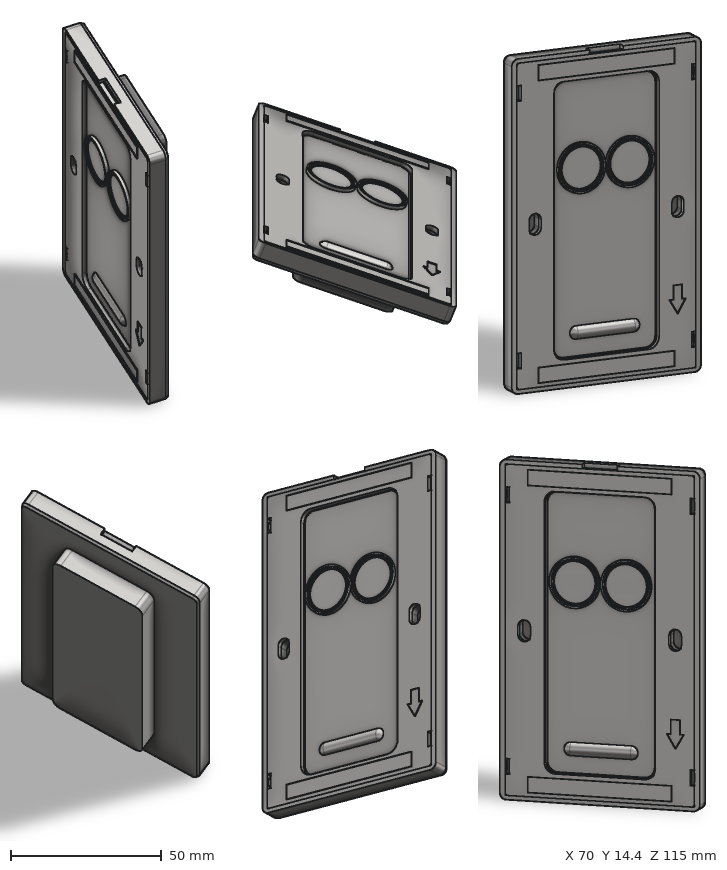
import cadquery as cq

width = 70.0
height = 115.0
total_depth = 14.4
pad_thickness = 0.3

housing_depth = 6.9
corner_radius = 2.4
bevel_depth = 1.1
bevel_inset = 0.45

panel_depth = total_depth - pad_thickness - housing_depth
panel_width = 35.3
panel_height = 91.6
panel_corner_radius = 3.0

side_rim = 1.9
end_rim = 1.5
bracket_width = width - 2 * side_rim
bracket_height = height - 2 * end_rim
bracket_thickness = 1.8
bracket_corner_radius = 1.0
recess_corner_radius = 0.5

window_width = 38.9
window_height = 95.5
window_corner_radius = 4.0
platform_side_clearance = 0.75
platform_end_clearance = 0.4
platform_corner_radius = 3.4
platform_setback = 1.35
platform_width = window_width - 2 * platform_side_clearance
platform_height = window_height - 2 * platform_end_clearance

boss_diameter = 17.4
boss_step_diameter = 16.0
boss_recess_diameter = 14.9
boss_rise = 1.35
boss_step_drop = 0.3
boss_recess_drop = 0.7
boss_floor_diameter = 14.3
boss_spacing = 18.0
boss_z = 17.3

bar_length = 25.8
bar_height = 4.6
bar_rise = 1.35
bar_z = -39.2

slot_width = 4.4
slot_length = 7.3
slot_x = 26.4
slot_depth_in_housing = 3.2
arrow_depth = 0.3
arrow_top_z = -26.9
arrow_shoulder_z = -31.8
arrow_tip_z = -36.7
arrow_shaft_width = 3.2
arrow_head_width = 5.9

pad_length = 50.3
pad_height = 5.3
pad_z = 51.9

notch_width = 1.5
notch_height = 5.3
notch_z_positions = (45.6, -46.2)
catch_height = 2.6
catch_reach = 0.2
catch_setback = 0.5

opening_width = 12.4
opening_depth = 2.5
opening_reach = end_rim + 0.5


def block(size_x, size_z, y_start, length, x=0, z=0):
    """Box centred on (x, z) that runs from y_start toward +Y."""
    return cq.Workplane("XY").box(size_x, length, size_z).translate((x, y_start + length / 2, z))


def rounded_block(size_x, size_z, y_start, length, radius):
    """Block with its four corners rounded."""
    return block(size_x, size_z, y_start, length).edges("|Y").fillet(radius)


def disc(diameter, y_start, length, x, z):
    """Cylinder that runs from y_start toward +Y."""
    return cq.Workplane("XZ", origin=(x, y_start, z)).circle(diameter / 2).extrude(-length)


def make_screw_slots(y_start, length):
    """Two upright slots, one on each side of the window, that run from y_start toward +Y."""
    return (
        cq.Workplane("XZ", origin=(0, y_start, 0))
        .pushPoints([(-slot_x, 0), (slot_x, 0)])
        .slot2D(slot_length, slot_width, 90)
        .extrude(-length)
    )


def make_housing_plate():
    plate = rounded_block(width, height, 0, housing_depth, corner_radius)
    return plate.faces(">Y").chamfer(bevel_inset, bevel_depth)


def make_platform():
    """Low platform that stands in the window with a gap all round."""
    return rounded_block(platform_width, platform_height, platform_setback,
                         bracket_thickness - platform_setback, platform_corner_radius)


def make_boss(x):
    """Round boss that stands toward -Y on the platform, with a step and a tapered recess."""
    top_y = platform_setback - boss_rise
    boss = disc(boss_diameter, top_y, boss_rise, x, boss_z)
    boss = boss.cut(disc(boss_step_diameter, top_y, boss_step_drop, x, boss_z))
    recess = (
        cq.Workplane("XZ", origin=(x, top_y + boss_step_drop, boss_z))
        .circle(boss_recess_diameter / 2)
        .workplane(offset=boss_step_drop - boss_recess_drop)
        .circle(boss_floor_diameter / 2)
        .loft()
    )
    return boss.cut(recess)


def make_bar():
    """Arched bar with domed ends; its section is a circular segment."""
    half_height = bar_height / 2
    half_straight = bar_length / 2 - half_height
    radius = (half_height**2 + bar_rise**2) / (2 * bar_rise)
    axis_y = platform_setback - bar_rise + radius
    rod = (
        cq.Workplane("YZ", origin=(-half_straight, axis_y, bar_z))
        .circle(radius)
        .extrude(2 * half_straight)
    )
    for x in (-half_straight, half_straight):
        rod = rod.union(cq.Workplane("XY").sphere(radius).translate((x, axis_y, bar_z)))
    envelope = block(2 * bar_length, 2 * bar_height, platform_setback - bar_rise, bar_rise, z=bar_z)
    return rod.intersect(envelope)


def make_housing():
    body = make_housing_plate()
    body = body.union(rounded_block(panel_width, panel_height, housing_depth, panel_depth,
                                    panel_corner_radius))
    body = body.cut(rounded_block(bracket_width, bracket_height, 0, bracket_thickness,
                                  recess_corner_radius))
    body = body.union(make_platform())
    body = body.union(make_bar())
    body = body.cut(make_screw_slots(bracket_thickness, slot_depth_in_housing))
    for side in (-1, 1):
        body = body.union(make_boss(side * boss_spacing / 2))
        catch_x = side * (bracket_width - catch_reach) / 2
        for z in notch_z_positions:
            body = body.union(block(catch_reach, catch_height, catch_setback,
                                    bracket_thickness - catch_setback, catch_x, z))
    opening_z = (height - opening_reach) / 2
    return body.cut(block(opening_width, opening_reach, 0, opening_depth, z=opening_z))


def make_arrow():
    """Downward arrow, as a shallow cutter."""
    half_shaft = arrow_shaft_width / 2
    half_head = arrow_head_width / 2
    return (
        cq.Workplane("XZ", origin=(slot_x, 0, 0))
        .moveTo(-half_shaft, arrow_top_z)
        .lineTo(half_shaft, arrow_top_z)
        .lineTo(half_shaft, arrow_shoulder_z)
        .lineTo(half_head, arrow_shoulder_z)
        .lineTo(0, arrow_tip_z)
        .lineTo(-half_head, arrow_shoulder_z)
        .lineTo(-half_shaft, arrow_shoulder_z)
        .close()
        .extrude(-arrow_depth)
    )


def make_bracket():
    body = rounded_block(bracket_width, bracket_height, 0, bracket_thickness, bracket_corner_radius)
    body = body.cut(rounded_block(window_width, window_height, 0, bracket_thickness,
                                  window_corner_radius))
    body = body.cut(make_screw_slots(0, bracket_thickness))
    body = body.cut(make_arrow())
    for side in (-1, 1):
        notch_x = side * (bracket_width - notch_width) / 2
        for z in notch_z_positions:
            body = body.cut(block(notch_width, notch_height, 0, bracket_thickness, notch_x, z))
        body = body.union(block(pad_length, pad_height, -pad_thickness, pad_thickness, z=side * pad_z))
    return body


housing = make_housing()
bracket = make_bracket()
result = cq.Compound.makeCompound([housing.val(), bracket.val()])